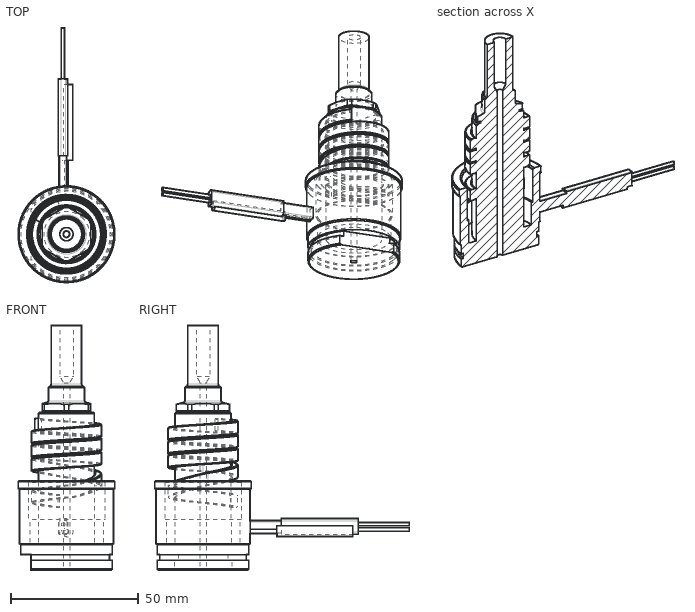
import cadquery as cq
import math

groove_bottom = 3.9
groove_top = 6.0
sleeve_bottom = 9.9
flange_bottom = 31.6
flange_top = 35.0
collar_top = 62.0
nut_bottom = 62.5
nut_rim = 65.0
nut_crown = 65.8
bearing_top = 72.2
shoulder_top = 73.1
total_height = 96.0

base_radius = 18.0
base_groove_radius = 17.0
base_flat_offset = 14.0
sleeve_radius = 18.5
flange_radius = 19.0
flange_chamfer = 0.4
edge_bevel = 0.5
cavity_radius = 15.0
cavity_chamfer = 0.6
cavity_ledge_radius = 14.4
cavity_ledge = 20.0
cavity_floor = 10.0

collar_radius = 11.0
collar_chamfer = 0.6
nut_neck_radius = 9.0
nut_flats = 19.0
nut_corner_radius = 10.5
nut_crown_radius = 7.7
flare_height = 0.9
bearing_radius = 7.1
bearing_chamfer = 0.6
shoulder_radius = 6.2
shaft_radius = 6.0

bore_radius = 1.2
socket_radius = 2.6
socket_depth = 20.0
cone_half_angle = 30.0

spring_inner_radius = 10.8
spring_outer_radius = 13.8
strip_height = 5.1
strip_chamfer = 0.4
strip_inner_bevel = 0.7
spring_top = 59.6
spring_top_angle = 155.0
tight_turns = (5.4, 3.04)
opening_turns = (13.0, 0.37)
open_turns = (20.0, 0.23)
closing_turns = (8.2, 0.5)

cable_x = -1.4
cable_width = 3.2
cable_bottom = 14.6
cable_top = 19.5
cable_fillet = 0.6
cable_start = 14.5
block_width = 3.8
block_bottom = 14.0
block_top = 20.3
block_fillet = 1.0
block_start = 30.7
block_end = 61.0
wire_radius = 0.7
wire_heights = (15.9, 18.0)
wire_end = 81.0
joint_overlap = 1.0

lead_radius = 0.9
lead_x = -0.1
lead_height = 15.2
sheath_radius = 2.1
sheath_x = 0.4
sheath_start = 29.0
sheath_end = 58.8


def turned(points):
    """Solid of revolution about Z from (radius, height) points."""
    return cq.Workplane("XZ").polyline(points).close().revolve(360, (0, 0), (0, 1))


def cylinder_along_y(x, z, radius, start, end):
    return cq.Workplane("XZ", origin=(x, start, z)).circle(radius).extrude(start - end)


def rounded_bar(width, bottom, top, fillet, start, end):
    """Bar along Y, centred on the cable, with its long edges rounded."""
    bar = cq.Workplane("XY").box(width, end - start, top - bottom)
    bar = bar.edges("|Y").fillet(fillet)
    return bar.translate((cable_x, (start + end) / 2, (bottom + top) / 2))


def make_base():
    """Grooved base, sleeve and flange, with a flat across the foot and an open cavity."""
    shell = turned([
        (0, 0),
        (base_radius - edge_bevel, 0),
        (base_radius, edge_bevel),
        (base_radius, groove_bottom),
        (base_groove_radius, groove_bottom),
        (base_groove_radius, groove_top),
        (base_radius, groove_top),
        (base_radius, sleeve_bottom),
        (sleeve_radius, sleeve_bottom + edge_bevel),
        (sleeve_radius, flange_bottom),
        (flange_radius, flange_bottom + flange_chamfer),
        (flange_radius, flange_top - flange_chamfer),
        (flange_radius - flange_chamfer, flange_top),
        (0, flange_top),
    ])
    beyond_flat = cq.Workplane("XY").box(
        base_radius, 2 * base_radius, groove_top, centered=(False, True, False)
    ).translate((-base_flat_offset - base_radius, 0, 0))
    cavity = turned([
        (0, cavity_floor),
        (cavity_ledge_radius, cavity_floor),
        (cavity_ledge_radius, cavity_ledge),
        (cavity_radius, cavity_ledge),
        (cavity_radius, flange_top - cavity_chamfer),
        (cavity_radius + cavity_chamfer, flange_top),
        (0, flange_top),
    ])
    return shell.cut(beyond_flat).cut(cavity)


def make_stem():
    """Collar, nut neck, bearing seat and shaft."""
    return turned([
        (0, cavity_floor),
        (collar_radius, cavity_floor),
        (collar_radius, collar_top - collar_chamfer),
        (collar_radius - collar_chamfer, collar_top),
        (nut_neck_radius, collar_top),
        (nut_neck_radius, nut_bottom),
        (bearing_radius, nut_bottom),
        (bearing_radius, bearing_top - bearing_chamfer),
        (bearing_radius - bearing_chamfer, bearing_top),
        (shoulder_radius, bearing_top),
        (shaft_radius, shoulder_top),
        (shaft_radius, total_height),
        (0, total_height),
    ])


def make_nut():
    """Hexagon with trimmed corners, a conical top and a flare up to the bearing seat."""
    flare_top = nut_crown + flare_height
    hexagon = cq.Workplane("XY").workplane(offset=nut_bottom).polygon(
        6, nut_flats / math.cos(math.radians(30))
    ).extrude(flare_top - nut_bottom).rotate((0, 0, 0), (0, 0, 1), 30)
    envelope = (
        cq.Workplane("XZ")
        .moveTo(0, nut_bottom)
        .lineTo(nut_corner_radius, nut_bottom)
        .lineTo(nut_corner_radius, nut_rim)
        .lineTo(nut_crown_radius, nut_crown)
        .tangentArcPoint((bearing_radius, flare_top), relative=False)
        .lineTo(0, flare_top)
        .close()
        .revolve(360, (0, 0), (0, 1))
    )
    return hexagon.intersect(envelope)


def make_coil(pitch, turns, top, top_angle):
    """Right-handed strip coil; top and top_angle (degrees from +X) locate its upper end."""
    rise = pitch * turns
    path = cq.Workplane(cq.Wire.makeHelix(pitch, rise, spring_inner_radius))
    section = (
        cq.Workplane("XZ")
        .moveTo(spring_inner_radius, strip_chamfer)
        .lineTo(spring_inner_radius + strip_inner_bevel, 0)
        .lineTo(spring_outer_radius - strip_chamfer, 0)
        .lineTo(spring_outer_radius, strip_chamfer)
        .lineTo(spring_outer_radius, strip_height - strip_chamfer)
        .lineTo(spring_outer_radius - strip_chamfer, strip_height)
        .lineTo(spring_inner_radius + strip_inner_bevel, strip_height)
        .lineTo(spring_inner_radius, strip_height - strip_chamfer)
        .close()
    )
    coil = section.sweep(path, isFrenet=True)
    coil = coil.rotate((0, 0, 0), (0, 0, 1), top_angle - 360 * turns)
    return coil.translate((0, 0, top - strip_height - rise))


def make_spring_coils():
    """Closely wound upper turns that open out and close again in a steeper turn inside the sleeve."""
    coils = []
    top = spring_top
    top_angle = spring_top_angle
    for pitch, turns in (tight_turns, opening_turns, open_turns, closing_turns):
        coils.append(make_coil(pitch, turns, top, top_angle))
        top -= pitch * turns
        top_angle -= 360 * turns
    return coils


def make_bore():
    """Through bore with a wider socket, ending in a cone, at the shaft end."""
    socket_bottom = total_height - socket_depth
    cone_depth = (socket_radius - bore_radius) / math.tan(math.radians(cone_half_angle))
    return turned([
        (0, 0),
        (bore_radius, 0),
        (bore_radius, socket_bottom - cone_depth),
        (socket_radius, socket_bottom),
        (socket_radius, total_height),
        (0, total_height),
    ])


def make_cable():
    """Cable, connector block with two bare wires, and the sheathed second lead."""
    cable = rounded_bar(
        cable_width, cable_bottom, cable_top, cable_fillet, cable_start, block_start + joint_overlap
    )
    block = rounded_bar(block_width, block_bottom, block_top, block_fillet, block_start, block_end)
    lead = cylinder_along_y(lead_x, lead_height, lead_radius, cable_start, sheath_end - joint_overlap)
    sheath = cylinder_along_y(sheath_x, lead_height, sheath_radius, sheath_start, sheath_end)
    harness = cable.union(block).union(sheath).union(lead)
    for height in wire_heights:
        harness = harness.union(
            cylinder_along_y(cable_x, height, wire_radius, block_end - joint_overlap, wire_end)
        )
    return harness


result = make_base().union(make_stem()).union(make_nut())
for coil in make_spring_coils():
    result = result.union(coil)
result = result.union(make_cable()).cut(make_bore())